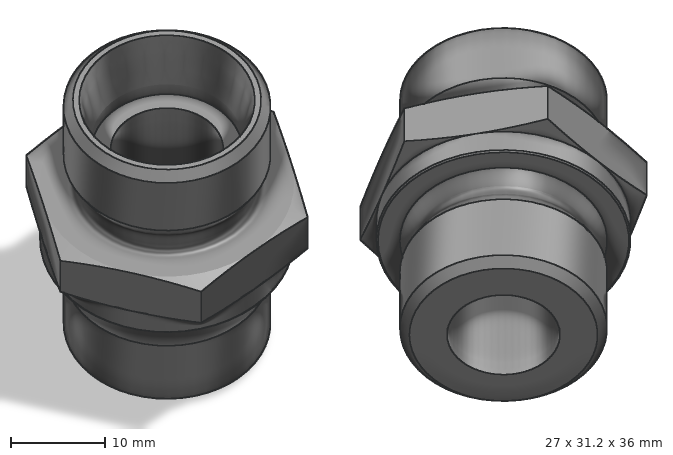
import cadquery as cq
import math

total_height = 36.0
collar_bottom = 14.08
hex_bottom = 17.0
hex_top = 23.0

thread_radius = 22.0 / 2
neck_radius = 19.7 / 2
end_chamfer = 1.0
lower_thread_top = 9.35
upper_thread_bottom = 27.5
groove_angle = math.radians(30)
lower_groove_round = 1.22
upper_groove_round = 1.0
neck_fillet = 1.0

across_flats = 27.0
hex_chamfer_angle = math.radians(15)
collar_chamfer = 0.18

bore_radius = 12.0 / 2
socket_radius = 16.0 / 2
socket_depth = 7.8
mouth_radius = 18.65 / 2
mouth_angle = math.radians(12)


def make_turned_body():
    """Revolve the outside: two threads, two grooves and the collar."""
    collar_radius = across_flats / 2

    groove_middle = (lower_thread_top + collar_bottom) / 2
    arc_half_height = lower_groove_round * math.sin(groove_angle)
    arc_end_radius = neck_radius + lower_groove_round * (1 - math.cos(groove_angle))

    flank_height = (thread_radius - neck_radius) / math.tan(groove_angle)
    tangent_length = upper_groove_round * math.tan(groove_angle / 2)
    blend_bottom = upper_thread_bottom - flank_height - tangent_length
    blend_centre_radius = neck_radius + upper_groove_round

    def blend_point(angle):
        return (
            blend_centre_radius - upper_groove_round * math.cos(angle),
            blend_bottom + upper_groove_round * math.sin(angle),
        )

    fillet_middle = neck_fillet * (1 - math.cos(math.pi / 4))
    profile = (
        cq.Workplane("XZ")
        .lineTo(thread_radius - end_chamfer, 0)
        .lineTo(thread_radius, end_chamfer)
        .lineTo(thread_radius, lower_thread_top)
        .lineTo(arc_end_radius, groove_middle - arc_half_height)
        .threePointArc(
            (neck_radius, groove_middle),
            (arc_end_radius, groove_middle + arc_half_height),
        )
        .lineTo(thread_radius, collar_bottom)
        .lineTo(collar_radius - collar_chamfer, collar_bottom)
        .lineTo(collar_radius, collar_bottom + collar_chamfer)
        .lineTo(collar_radius, hex_top)
        .lineTo(neck_radius + neck_fillet, hex_top)
        .threePointArc(
            (neck_radius + fillet_middle, hex_top + fillet_middle),
            (neck_radius, hex_top + neck_fillet),
        )
        .lineTo(neck_radius, blend_bottom)
        .threePointArc(blend_point(groove_angle / 2), blend_point(groove_angle))
        .lineTo(thread_radius, upper_thread_bottom)
        .lineTo(thread_radius, total_height - end_chamfer)
        .lineTo(thread_radius - end_chamfer, total_height)
        .lineTo(0, total_height)
        .close()
    )
    return profile.revolve(360, (0, 0, 0), (0, 1, 0))


def make_hexagon():
    """Hexagon with corners on the Y axis, its corners bevelled top and bottom."""
    corner_radius = across_flats / 2 / math.cos(math.pi / 6)
    hexagon = (
        cq.Workplane("XY", origin=(0, 0, hex_bottom))
        .polygon(6, 2 * corner_radius)
        .extrude(hex_top - hex_bottom)
        .rotate((0, 0, 0), (0, 0, 1), 30)
    )
    bevel_start = across_flats / 2
    bevel_outer = 1.1 * corner_radius
    bevel_drop = (bevel_outer - bevel_start) * math.tan(hex_chamfer_angle)
    envelope = (
        cq.Workplane("XZ")
        .moveTo(0, hex_bottom)
        .lineTo(bevel_start, hex_bottom)
        .lineTo(bevel_outer, hex_bottom + bevel_drop)
        .lineTo(bevel_outer, hex_top - bevel_drop)
        .lineTo(bevel_start, hex_top)
        .lineTo(0, hex_top)
        .close()
        .revolve(360, (0, 0, 0), (0, 1, 0))
    )
    return hexagon.intersect(envelope)


def make_bore():
    """Through bore with a stepped socket and a conical mouth at the upper end."""
    mouth_depth = (mouth_radius - socket_radius) / math.tan(mouth_angle)
    return (
        cq.Workplane("XZ")
        .lineTo(bore_radius, 0)
        .lineTo(bore_radius, total_height - socket_depth)
        .lineTo(socket_radius, total_height - socket_depth)
        .lineTo(socket_radius, total_height - mouth_depth)
        .lineTo(mouth_radius, total_height)
        .lineTo(0, total_height)
        .close()
        .revolve(360, (0, 0, 0), (0, 1, 0))
    )


result = make_turned_body().union(make_hexagon()).cut(make_bore())